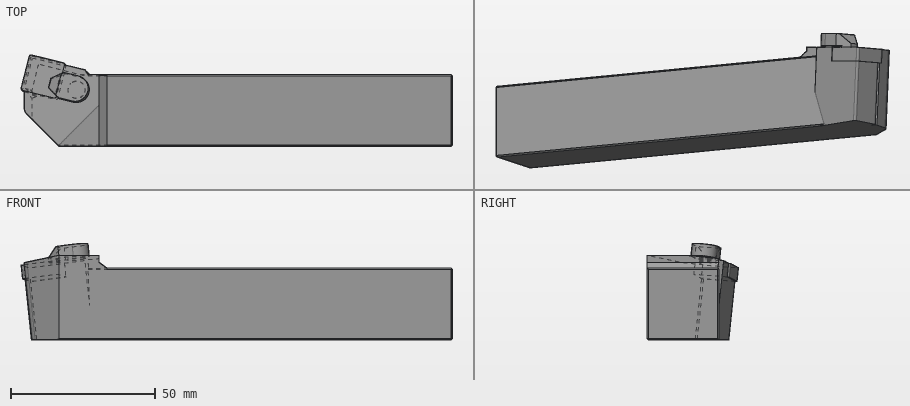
import cadquery as cq
import math


LENGTH = 149.8
SHANK_SIZE = 25.0
EDGE_BEVEL = 0.52

HEAD_TOP = 29.4
HEAD_BACK = 27.1
STEP_SHOULDER = 27.0
STEP_END = 29.8
CHAMFER_START = 13.2
FRONT_X = 0.9
FRONT_BLEND = 3.6

RAKE_ANGLE = 8.4
RIDGE_ANGLE = 45.0
RIDGE_START = 12.7

INSERT_SIDE = 12.7
INSERT_THICKNESS = 4.8
INSERT_RADIUS = 0.7
INSERT_TURN = 14.0
INSERT_CORNER = (-0.1, 19.6)

COLUMN_INSET = 0.6
COLUMN_START = 1.2
COLUMN_LENGTH = 21.7
COLUMN_END_SLANT = 1.6

CLAMP_CENTER = (19.3, 19.6)
CLAMP_RADIUS = 4.5
CLAMP_HEIGHT = 5.0
CLAMP_SHOULDER = 6.0
CLAMP_LENGTH = 9.6
CLAMP_NOSE_WIDTH = 3.3
CLAMP_TAPER_START = 5.1
CLAMP_NOSE_HEIGHT = 1.6
CLAMP_GAP = 0.7
CLAMP_FOOT = 6.7
CLAMP_STEM_RADIUS = 3.0

THROUGH = 45.0

rake = math.radians(RAKE_ANGLE)
ridge = math.radians(RIDGE_ANGLE)
ridge_direction = cq.Vector(math.cos(ridge), math.sin(ridge), 0)
rake_normal = cq.Vector(-math.sin(ridge) * math.sin(rake), math.cos(ridge) * math.sin(rake), math.cos(rake))


def rake_height(x, y):
    """Height of the rake plane above the base."""
    fall_distance = -(x - RIDGE_START) * math.sin(ridge) + y * math.cos(ridge)
    return HEAD_TOP - fall_distance * math.tan(rake)


def rake_plane(x, y, turn):
    """Workplane on the rake plane above (x, y), turned clockwise from the X direction."""
    plane = cq.Plane((x, y, rake_height(x, y)), ridge_direction, rake_normal)
    return plane.rotated((0, 0, -RIDGE_ANGLE - turn))


def make_shank():
    shank = cq.Workplane().box(LENGTH - CHAMFER_START, SHANK_SIZE, SHANK_SIZE, centered=False)
    shank = shank.faces(">X").edges().chamfer(EDGE_BEVEL).edges("|X").chamfer(EDGE_BEVEL)
    return shank.translate((CHAMFER_START, 0, 0))


def make_column():
    """Wall supporting the insert, set in from its edges."""
    plane = rake_plane(*INSERT_CORNER, INSERT_TURN)
    upper = INSERT_SIDE - COLUMN_INSET
    lower = COLUMN_START
    outline = [
        (COLUMN_INSET, lower), (COLUMN_INSET, upper), (COLUMN_LENGTH - COLUMN_END_SLANT, upper),
        (COLUMN_LENGTH, upper - COLUMN_END_SLANT), (COLUMN_LENGTH, lower),
    ]
    column = cq.Workplane(plane).polyline(outline).close().extrude(-THROUGH)
    column = column.faces(cq.selectors.DirectionMinMaxSelector(plane.xDir, False))
    return column.edges(cq.selectors.ParallelDirSelector(rake_normal)).fillet(INSERT_RADIUS)


def make_head():
    plane = rake_plane(CHAMFER_START, 0, 0)
    margin = HEAD_TOP - SHANK_SIZE
    far_x = STEP_END + margin - CHAMFER_START
    front = FRONT_X - CHAMFER_START
    outline = [
        (margin, -margin), (front, -front), (front, INSERT_CORNER[1]),
        (front + INSERT_SIDE, SHANK_SIZE), (far_x, SHANK_SIZE), (far_x, -margin),
    ]
    prism = cq.Workplane(plane).polyline(outline).close().extrude(-THROUGH)
    blend_point = plane.toWorldCoords((front, -front, -THROUGH / 2))
    blend_edge = cq.selectors.NearestToPointSelector(blend_point.toTuple())
    prism = prism.edges(blend_edge).fillet(FRONT_BLEND)

    prism = prism.union(make_column())

    profile = [
        (-THROUGH, 0), (STEP_END, 0), (STEP_END, SHANK_SIZE), (HEAD_BACK, STEP_SHOULDER),
        (HEAD_BACK, HEAD_TOP), (-THROUGH, HEAD_TOP),
    ]
    envelope = cq.Workplane("XZ").polyline(profile).close().extrude(-THROUGH)
    envelope = envelope.edges("|X and <Y and <Z").chamfer(EDGE_BEVEL)
    return prism.intersect(envelope)


def make_insert():
    half = INSERT_SIDE / 2
    insert = cq.Workplane(rake_plane(*INSERT_CORNER, INSERT_TURN)).center(half, half)
    insert = insert.rect(INSERT_SIDE, INSERT_SIDE).extrude(-INSERT_THICKNESS)
    return insert.edges(cq.selectors.ParallelDirSelector(rake_normal)).fillet(INSERT_RADIUS)


def make_clamp():
    """Round-ended finger with a narrowed, sloping nose resting on the insert."""
    plane = rake_plane(*CLAMP_CENTER, INSERT_TURN)
    half_nose = CLAMP_NOSE_WIDTH / 2
    clamp = (
        cq.Workplane(plane)
        .moveTo(0, -CLAMP_RADIUS)
        .threePointArc((CLAMP_RADIUS, 0), (0, CLAMP_RADIUS))
        .lineTo(-CLAMP_TAPER_START, CLAMP_RADIUS)
        .lineTo(-CLAMP_LENGTH, half_nose)
        .lineTo(-CLAMP_LENGTH, -half_nose)
        .lineTo(-CLAMP_TAPER_START, -CLAMP_RADIUS)
        .close()
        .extrude(CLAMP_HEIGHT)
    )
    slope = [
        (-CLAMP_SHOULDER, CLAMP_HEIGHT), (-CLAMP_LENGTH, CLAMP_HEIGHT),
        (-CLAMP_LENGTH, CLAMP_NOSE_HEIGHT),
    ]
    side_plane = plane.rotated((90, 0, 0))
    wedge = cq.Workplane(side_plane).polyline(slope).close().extrude(CLAMP_RADIUS, both=True)
    gap_length = CLAMP_FOOT + CLAMP_RADIUS
    gap = cq.Workplane(plane).center(gap_length / 2 - CLAMP_FOOT, 0)
    gap = gap.rect(gap_length, 2 * CLAMP_RADIUS).extrude(CLAMP_GAP)
    stem = cq.Workplane(plane).circle(CLAMP_STEM_RADIUS).extrude(CLAMP_GAP)
    return clamp.cut(wedge).cut(gap).union(stem)


insert = make_insert()
holder = make_shank().union(make_head()).cut(insert).union(make_clamp())

result = cq.Compound.makeCompound([holder.solids().val(), insert.solids().val()])